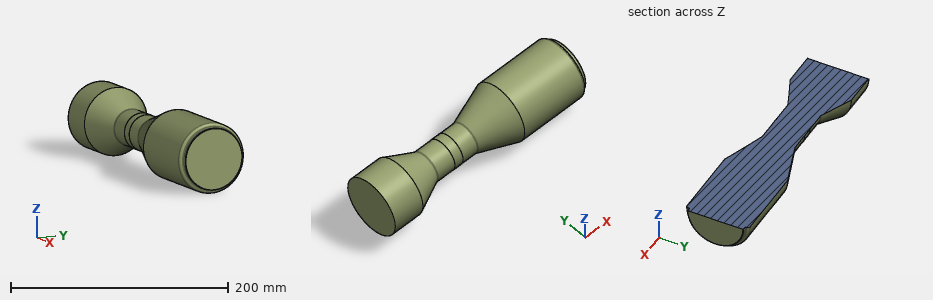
import cadquery as cq

total_length = 244.2
objective_end = 35.0
tube_start = 67.6
band_start = 89.4
band_end = 99.6
tube_end = 118.2
eyepiece_start = 163.0
collar_length = 4.0
eyepiece_end = total_length - collar_length

objective_radius = 32.0
tube_diameter = 34.5
tube_radius = tube_diameter / 2
band_rise = 0.12
band_radius = tube_radius + band_rise
eyepiece_radius = 33.0
collar_radius = 29.0

taper_blend = 2.5
rim_round = 2.7
collar_root_blend = 0.5
collar_chamfer = 0.5

selection_tolerance = 0.02


def circle_at(solid, station, radius):
    """Select the circular edge of a solid at this station on the X axis with this radius."""
    margin = selection_tolerance
    lower = (station - margin, -margin, -margin)
    upper = (station + margin, margin, margin)
    centred_edges = solid.edges(cq.selectors.BoxSelector(lower, upper))
    return centred_edges.filter(lambda edge: abs(edge.radius() - radius) < margin)


half_section = [
    (0, 0),
    (0, objective_radius),
    (objective_end, objective_radius),
    (tube_start, tube_radius),
    (band_start, tube_radius),
    (band_start, band_radius),
    (band_end, band_radius),
    (band_end, tube_radius),
    (tube_end, tube_radius),
    (eyepiece_start, eyepiece_radius),
    (eyepiece_end, eyepiece_radius),
    (eyepiece_end, collar_radius),
    (total_length, collar_radius),
    (total_length, 0),
]
body = cq.Workplane("XZ").polyline(half_section).close().revolve(360, (0, 0, 0), (1, 0, 0))

for station in (tube_start, tube_end):
    body = circle_at(body, station, tube_radius).fillet(taper_blend)

body = circle_at(body, eyepiece_end, eyepiece_radius).fillet(rim_round)
body = circle_at(body, eyepiece_end, collar_radius).fillet(collar_root_blend)
body = circle_at(body, total_length, collar_radius).chamfer(collar_chamfer)

result = body